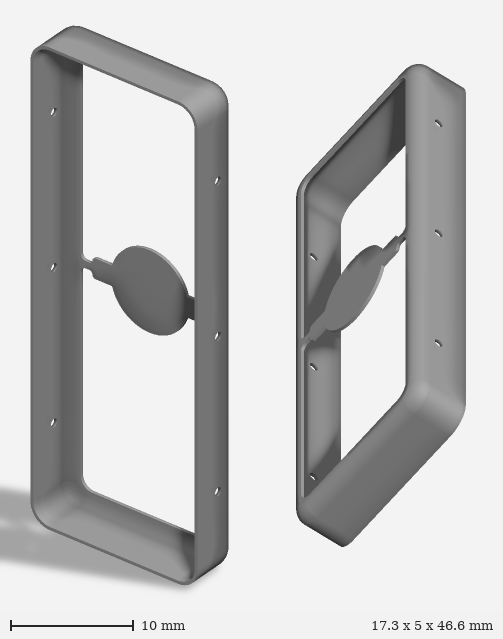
import cadquery as cq

width = 17.3
depth = 5.0
height = 46.6
wall = 0.3
corner_radius = 2.0
back_edge_radius = 1.3

lip_width = 1.55
window_corner_radius = 1.2

disc_diameter = 7.95
arm_width = 2.0
neck_width = 0.7
neck_root_radius = 0.55
shoulder_inset = 1.2
root_overlap = 0.15

pin_diameter = 0.8
pin_spacing = 15.0
pin_setback = 2.75

window_width = width - 2 * lip_width
window_height = height - 2 * lip_width
lip_front = depth - wall


def rounded_block(size_x, size_z, radius, y_start, y_end):
    """Block centred on the Y axis with its edges along Y rounded."""
    return (
        cq.Workplane("XY")
        .box(size_x, y_end - y_start, size_z)
        .translate((0, (y_start + y_end) / 2, 0))
        .edges("|Y")
        .fillet(radius)
    )


def make_frame():
    outer = rounded_block(width, height, corner_radius, 0, depth)
    outer = outer.faces(">Y").edges().fillet(back_edge_radius)
    cavity = rounded_block(
        width - 2 * wall, height - 2 * wall, corner_radius - wall, 0, lip_front
    )
    cavity = cavity.faces(">Y").edges().fillet(back_edge_radius - wall)
    window = rounded_block(window_width, window_height, window_corner_radius, 0, depth)
    return outer.cut(cavity).cut(window)


def back_plane():
    """Sketch plane on the +Y face; extruding goes towards -Y for positive lengths."""
    return cq.Workplane("XZ", origin=(0, depth, 0))


def make_upper_right_arm():
    """Upper half of the arm from disc to lip, stepping down to a neck through smooth arcs."""
    edge = window_width / 2
    half_neck = neck_width / 2
    half_arm = arm_width / 2
    shoulder = edge - shoulder_inset
    step_radius = (half_arm - half_neck) / 2
    return (
        back_plane()
        .moveTo(0, half_arm)
        .lineTo(shoulder - step_radius, half_arm)
        .tangentArcPoint((shoulder, half_arm - step_radius), relative=False)
        .tangentArcPoint((shoulder + step_radius, half_neck), relative=False)
        .lineTo(edge - neck_root_radius, half_neck)
        .tangentArcPoint((edge, half_neck + neck_root_radius), relative=False)
        .lineTo(edge + root_overlap, half_neck + neck_root_radius)
        .lineTo(edge + root_overlap, 0)
        .lineTo(0, 0)
        .close()
        .extrude(wall)
    )


def make_disc():
    return back_plane().circle(disc_diameter / 2).extrude(wall)


def make_pin_holes():
    return (
        cq.Workplane("YZ")
        .pushPoints([(pin_setback, row * pin_spacing) for row in (-1, 0, 1)])
        .circle(pin_diameter / 2)
        .extrude(width, both=True)
    )


upper_right_arm = make_upper_right_arm()
right_arm = upper_right_arm.union(upper_right_arm.mirror("XY"))
left_arm = right_arm.mirror("YZ")

result = make_frame().union(make_disc()).union(right_arm).union(left_arm)
result = result.cut(make_pin_holes())